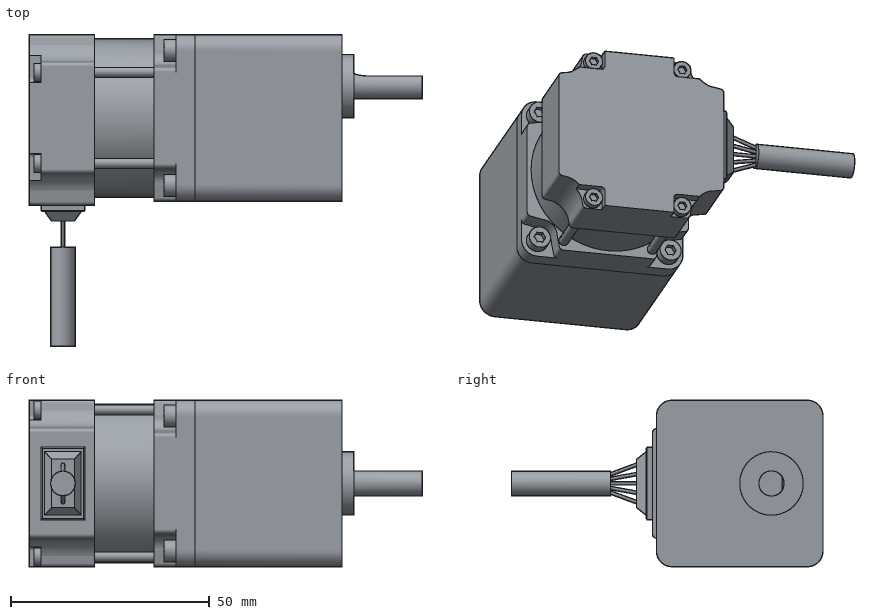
import cadquery as cq
import math


SQUARE = 42.0
HALF = SQUARE / 2
SECTION_CORNER_RADIUS = 4.0

TOTAL_LENGTH = 99.0
COVER_FRONT_X = 16.5
FLANGE_REAR_X = 31.4
FLANGE_POCKET_X = 37.0
GEARBOX_REAR_X = 41.75
GEARBOX_FRONT_X = 78.8
PILOT_LENGTH = 3.0
PILOT_FRONT_X = GEARBOX_FRONT_X + PILOT_LENGTH

COVER_SIDE_STEP = 1.0
COVER_EDGE_RADIUS = 1.0
COVER_NOTCH_DRAFT = math.radians(10)
COVER_NOTCH_NEAR = 14.3
COVER_NOTCH_FAR = 18.3
COVER_NOTCH_ARC_RADIUS = 6.5
COVER_POCKET_DEPTH = 3.0
COVER_POCKET_RADIUS = 1.0

STATOR_DIAMETER = 40.0

ROD_Y = 11.5
ROD_Z = 18.5
ROD_DIAMETER = 2.5
ROD_HEAD_DIAMETER = 4.5
ROD_HEAD_HEIGHT = 1.8
ROD_HEX = 2.0
ROD_HEX_DEPTH = 1.0

FLANGE_SCREW_OFFSET = 17.0
FLANGE_HEAD_DIAMETER = 5.5
FLANGE_HEAD_HEIGHT = 3.0
FLANGE_HEX = 2.5
FLANGE_HEX_DEPTH = 1.5
FLANGE_NOTCH_RADIUS = 3.75
FLANGE_NOTCH_DRAFT = math.radians(11)
FLANGE_NOTCH_EDGE_RADIUS = 1.0

OUTLET_X = 8.5
OUTLET_BASE = (11.0, 18.3)
OUTLET_BASE_HEIGHT = 1.6
OUTLET_BASE_CHAMFER = 0.3
OUTLET_CONE_BOTTOM = (9.2, 16.0)
OUTLET_CONE_TOP = (5.7, 12.2)
OUTLET_CONE_HEIGHT = 2.4
WIRE_COUNT = 5
WIRE_DIAMETER = 0.9
WIRE_PITCH_AT_OUTLET = 2.35
WIRE_PITCH_AT_CABLE = 1.15
WIRE_EMBED = 0.5
CABLE_DIAMETER = 6.2
CABLE_LENGTH = 25.0
TOTAL_WIDTH = 78.5
CABLE_END_Y = HALF - TOTAL_WIDTH
CABLE_START_Y = CABLE_END_Y + CABLE_LENGTH

OUTPUT_Y = 8.0
PILOT_DIAMETER = 16.0
SHAFT_DIAMETER = 6.35
SHAFT_FLAT_DEPTH = 0.55
SHAFT_RUNOUT = 3.5

CORNERS = [(y_sign, z_sign) for y_sign in (1, -1) for z_sign in (1, -1)]


def section_at(x):
    """Sketch plane across the motor axis: local x is Y, local y is Z, extruding toward +X."""
    return cq.Workplane("YZ", origin=(x, 0, 0))


def side_plane_at(y):
    """Sketch plane facing -Y at the outlet: local x is X, local y is Z, extruding toward -Y."""
    return cq.Workplane("XZ", origin=(OUTLET_X, y, 0))


def square_block(x_start, x_end):
    block = section_at(x_start).rect(SQUARE, SQUARE).extrude(x_end - x_start)
    return block.edges("|X").fillet(SECTION_CORNER_RADIUS)


def mirrored_point(point, signs):
    return (point[0] * signs[0], point[1] * signs[1])


def cap_screw_head(x, y, z, diameter, height, hex_size, hex_depth):
    """Socket head whose top faces -X at station x."""
    head = section_at(x).center(y, z).circle(diameter / 2).extrude(height)
    hex_corner_diameter = hex_size / math.cos(math.pi / 6)
    socket = section_at(x).center(y, z).polygon(6, hex_corner_diameter).extrude(hex_depth)
    return head.cut(socket)


def cover_notch(signs):
    """Clearance for a flange screwdriver at one cover corner, symmetric about the corner diagonal."""
    side = HALF + COVER_SIDE_STEP
    drop = (side - COVER_NOTCH_FAR) * math.tan(COVER_NOTCH_DRAFT)
    chord = math.sqrt(2) * (COVER_NOTCH_FAR - COVER_NOTCH_NEAR)
    sagitta = COVER_NOTCH_ARC_RADIUS - math.sqrt(COVER_NOTCH_ARC_RADIUS**2 - (chord / 2) ** 2)
    middle = (COVER_NOTCH_NEAR + COVER_NOTCH_FAR) / 2 - sagitta / math.sqrt(2)
    outer = (COVER_NOTCH_NEAR - drop, side)
    arc_start = (COVER_NOTCH_NEAR, COVER_NOTCH_FAR)

    def place(point):
        return mirrored_point(point, signs)

    return (
        section_at(0)
        .moveTo(*place(outer))
        .lineTo(*place(arc_start))
        .threePointArc(place((middle, middle)), place(arc_start[::-1]))
        .lineTo(*place(outer[::-1]))
        .lineTo(*place((side, side)))
        .close()
        .extrude(COVER_FRONT_X)
    )


def cover_screw_pocket(signs):
    """Rectangular recess around one clamp screw head, open at the cover's outside."""
    half_width = HALF - ROD_Z
    inner_y = ROD_Y - half_width
    inner_z = ROD_Z - half_width
    center = ((inner_y + HALF) / 2, (inner_z + HALF) / 2)
    pocket = (
        section_at(0)
        .center(*mirrored_point(center, signs))
        .rect(HALF - inner_y, HALF - inner_z)
        .extrude(COVER_POCKET_DEPTH)
    )
    inner_side = "<" if signs[0] > 0 else ">"
    inner_end = "<" if signs[1] > 0 else ">"
    return pocket.edges("|X").edges(inner_side + "Y").edges(inner_end + "Z").fillet(COVER_POCKET_RADIUS)


def rear_cover():
    width = SQUARE + COVER_SIDE_STEP
    cover = section_at(0).center(-COVER_SIDE_STEP / 2, 0).rect(width, SQUARE).extrude(COVER_FRONT_X)
    for signs in CORNERS:
        cover = cover.cut(cover_notch(signs))
    cover = cover.edges("|X and (<Y or >Y or <Z or >Z)").fillet(COVER_EDGE_RADIUS)
    for signs in CORNERS:
        cover = cover.cut(cover_screw_pocket(signs))
    return cover


def clamp_screw(signs):
    y, z = mirrored_point((ROD_Y, ROD_Z), signs)
    head_x = COVER_POCKET_DEPTH - ROD_HEAD_HEIGHT
    rod = section_at(COVER_POCKET_DEPTH).center(y, z).circle(ROD_DIAMETER / 2)
    rod = rod.extrude(FLANGE_POCKET_X - COVER_POCKET_DEPTH)
    return rod.union(
        cap_screw_head(head_x, y, z, ROD_HEAD_DIAMETER, ROD_HEAD_HEIGHT, ROD_HEX, ROD_HEX_DEPTH)
    )


def flange_notch(signs):
    """Quarter-round recess around one flange screw, its walls opening toward both outer faces."""
    center = FLANGE_SCREW_OFFSET
    diagonal = FLANGE_NOTCH_RADIUS / math.sqrt(2)
    arc_start = (center - FLANGE_NOTCH_RADIUS, center)
    arc_middle = (center - diagonal, center - diagonal)
    drop = (HALF - arc_start[1]) * math.tan(FLANGE_NOTCH_DRAFT)
    outer = (arc_start[0] - drop, HALF)

    def place(point):
        return mirrored_point(point, signs)

    return (
        section_at(FLANGE_REAR_X)
        .moveTo(*place(outer))
        .lineTo(*place(arc_start))
        .threePointArc(place(arc_middle), place(arc_start[::-1]))
        .lineTo(*place(outer[::-1]))
        .lineTo(*place((HALF, HALF)))
        .close()
        .extrude(FLANGE_POCKET_X - FLANGE_REAR_X)
    )


def mounting_flange():
    length = FLANGE_POCKET_X - FLANGE_REAR_X
    notched = section_at(FLANGE_REAR_X).rect(SQUARE, SQUARE).extrude(length)
    for signs in CORNERS:
        notched = notched.cut(flange_notch(signs))
    notched = notched.edges("|X and (<Y or >Y or <Z or >Z)").fillet(FLANGE_NOTCH_EDGE_RADIUS)
    flange = notched.union(square_block(FLANGE_POCKET_X, GEARBOX_REAR_X))
    head_x = FLANGE_POCKET_X - FLANGE_HEAD_HEIGHT
    for signs in CORNERS:
        y, z = mirrored_point((FLANGE_SCREW_OFFSET, FLANGE_SCREW_OFFSET), signs)
        head = cap_screw_head(
            head_x, y, z, FLANGE_HEAD_DIAMETER, FLANGE_HEAD_HEIGHT, FLANGE_HEX, FLANGE_HEX_DEPTH
        )
        flange = flange.union(head)
    return flange


def wire(index, start_y):
    """One round wire fanning from the cable end out to the outlet face."""
    place = index - (WIRE_COUNT - 1) / 2
    outlet_point = cq.Vector(OUTLET_X, start_y, place * WIRE_PITCH_AT_OUTLET)
    cable_point = cq.Vector(OUTLET_X, CABLE_START_Y, place * WIRE_PITCH_AT_CABLE)
    path = cable_point - outlet_point
    direction = path.normalized()
    start = outlet_point - direction * WIRE_EMBED
    length = path.Length + 2 * WIRE_EMBED
    return cq.Solid.makeCylinder(WIRE_DIAMETER / 2, length, start, direction)


def cable_outlet():
    side_y = -(HALF + COVER_SIDE_STEP)
    cone_y = side_y - OUTLET_BASE_HEIGHT
    wire_y = cone_y - OUTLET_CONE_HEIGHT
    base = side_plane_at(side_y).rect(*OUTLET_BASE).extrude(OUTLET_BASE_HEIGHT)
    base = base.faces("<Y").chamfer(OUTLET_BASE_CHAMFER)
    cone = (
        side_plane_at(cone_y)
        .rect(*OUTLET_CONE_BOTTOM)
        .workplane(offset=OUTLET_CONE_HEIGHT)
        .rect(*OUTLET_CONE_TOP)
        .loft(ruled=True)
    )
    cable = side_plane_at(CABLE_START_Y).circle(CABLE_DIAMETER / 2).extrude(CABLE_LENGTH)
    outlet = base.union(cone).union(cable)
    for index in range(WIRE_COUNT):
        outlet = outlet.union(cq.Workplane(wire(index, wire_y)))
    return outlet


def motor_body():
    stator_length = FLANGE_REAR_X - COVER_FRONT_X
    stator = section_at(COVER_FRONT_X).circle(STATOR_DIAMETER / 2).extrude(stator_length)
    body = rear_cover().union(stator).union(mounting_flange())
    for signs in CORNERS:
        body = body.union(clamp_screw(signs))
    return body.union(cable_outlet())


def output_shaft():
    """Shaft with a +Y flat that runs out in an arc, tangent to the flat, at the pilot face."""
    radius = SHAFT_DIAMETER / 2
    length = TOTAL_LENGTH - PILOT_FRONT_X
    shaft = section_at(PILOT_FRONT_X).center(OUTPUT_Y, 0).circle(radius).extrude(length)
    crest_y = OUTPUT_Y + radius
    flat_y = crest_y - SHAFT_FLAT_DEPTH
    flat_start_x = PILOT_FRONT_X + SHAFT_RUNOUT
    flat_cut = (
        cq.Workplane("XY")
        .moveTo(TOTAL_LENGTH, crest_y)
        .lineTo(TOTAL_LENGTH, flat_y)
        .lineTo(flat_start_x, flat_y)
        .tangentArcPoint((PILOT_FRONT_X, crest_y), relative=False)
        .close()
        .extrude(radius, both=True)
    )
    return shaft.cut(flat_cut)


def gearbox_body():
    pilot = section_at(GEARBOX_FRONT_X).center(OUTPUT_Y, 0).circle(PILOT_DIAMETER / 2)
    pilot = pilot.extrude(PILOT_LENGTH)
    return square_block(GEARBOX_REAR_X, GEARBOX_FRONT_X).union(pilot).union(output_shaft())


motor = motor_body()
gearbox = gearbox_body()
result = cq.Compound.makeCompound([motor.solids().val(), gearbox.solids().val()])